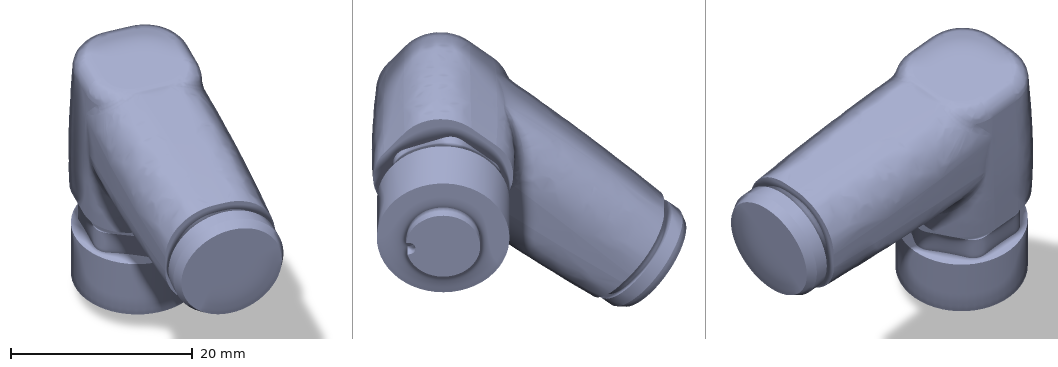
import cadquery as cq
import math

TOTAL_LENGTH = 37.3
TOTAL_HEIGHT = 32.0

NOSE_DIAMETER = 8.17
NOSE_TOP = 1.6
KEYWAY_WIDTH = 1.53
KEYWAY_DEPTH = 1.05
KEYWAY_ANGLE = 135

RING_DIAMETER = 14.6
RING_TOP = 8.75
RING_BEVEL_DIAMETER = 11.9
RING_BEVEL_HEIGHT = 0.3

HEX_ACROSS_FLATS = 11.97
HEX_CORNER_RADIUS = 2.05
HEX_TOP = 11.7

NECK_DIAMETER = 9.03
NECK_TOP = 13.4

LEG_BULGE_Z = 21.65
LEG_BOTTOM_SECTION = (14.02, 13.9, 5.22)
LEG_BULGE_SECTION = (14.32, 13.9, 5.22)
LEG_TOP_SECTION = (13.35, 13.0, 5.05)
LEG_TOP_FILLET = 1.98

ARM_AXIS_Z = 24.88
ARM_ROOT_X = 0
ARM_BULGE_X = 13.05
ARM_END_X = 26.37
ARM_ROOT_SECTION = (13.35, 14.0, 4.65)
ARM_BULGE_SECTION = (13.8, 14.0, 5.4)
ARM_END_SECTION = (12.85, 13.58, 5.8)
ELBOW_FILLET = 1.68

GROOVE_SECTION = (10.7, 11.5, 4.85)
GROOVE_END_X = 27.45
CAP_DIAMETER = 12.9
CAP_CHAMFER_LENGTH = 1.0
CAP_CHAMFER_DEPTH = 0.55
CAP_END_X = TOTAL_LENGTH - RING_DIAMETER / 2


def rounded_rectangle(section):
    """Sketch of a rectangle with rounded corners from (width, height, corner radius)."""
    width, height, corner_radius = section
    return cq.Sketch().rect(width, height).vertices().fillet(corner_radius)


def cylinder(diameter, bottom, top):
    """Vertical cylinder on the coupling axis."""
    return cq.Workplane("XY").workplane(offset=bottom).circle(diameter / 2).extrude(top - bottom)


def loft_through(plane, stations):
    """Smooth loft through (offset along the plane's normal, section) stations."""
    faces = [
        rounded_rectangle(section).moved(cq.Location(cq.Vector(0, 0, offset)))
        for offset, section in stations
    ]
    return cq.Workplane(plane).placeSketch(*faces).loft()


def make_nose():
    """Nose with a round-bottomed keyway along its side."""
    keyway = (
        cq.Workplane("XY")
        .transformed(rotate=(0, 0, KEYWAY_ANGLE))
        .center(NOSE_DIAMETER / 2, 0)
        .slot2D(2 * KEYWAY_DEPTH, KEYWAY_WIDTH)
        .extrude(NOSE_TOP)
    )
    return cylinder(NOSE_DIAMETER, 0, NOSE_TOP).cut(keyway)


def make_ring():
    """Round ring whose top slopes up to the flats of the hexagon."""
    bevel_width = (RING_DIAMETER - RING_BEVEL_DIAMETER) / 2
    return (
        cylinder(RING_DIAMETER, NOSE_TOP, RING_TOP + RING_BEVEL_HEIGHT)
        .faces(">Z")
        .chamfer(RING_BEVEL_HEIGHT, bevel_width)
    )


def make_hexagon():
    """Rounded hexagon with two flats facing along Y."""
    corner_diameter = HEX_ACROSS_FLATS / math.cos(math.pi / 6)
    return (
        cq.Workplane("XY")
        .workplane(offset=RING_TOP)
        .polygon(6, corner_diameter)
        .extrude(HEX_TOP - RING_TOP)
        .edges("|Z")
        .fillet(HEX_CORNER_RADIUS)
    )


def make_leg():
    """Barrelled vertical leg with a rounded top rim."""
    leg = loft_through(
        cq.Plane.XY(),
        [
            (NECK_TOP, LEG_BOTTOM_SECTION),
            (LEG_BULGE_Z, LEG_BULGE_SECTION),
            (TOTAL_HEIGHT, LEG_TOP_SECTION),
        ],
    )
    return leg.faces(">Z").edges().fillet(LEG_TOP_FILLET)


def make_arm():
    """Horizontal arm that starts inside the leg and tapers to its free end."""
    return loft_through(
        cq.Plane(origin=(0, 0, ARM_AXIS_Z), xDir=(0, 1, 0), normal=(1, 0, 0)),
        [
            (ARM_ROOT_X, ARM_ROOT_SECTION),
            (ARM_BULGE_X, ARM_BULGE_SECTION),
            (ARM_END_X, ARM_END_SECTION),
        ],
    )


def make_arm_end():
    """Grooved spigot and the round, chamfered cap it carries."""
    end_plane = cq.Plane(origin=(ARM_END_X, 0, ARM_AXIS_Z), xDir=(0, 1, 0), normal=(1, 0, 0))
    groove_length = GROOVE_END_X - ARM_END_X
    groove = cq.Workplane(end_plane).placeSketch(rounded_rectangle(GROOVE_SECTION)).extrude(groove_length)
    cap = (
        cq.Workplane(end_plane)
        .workplane(offset=groove_length)
        .circle(CAP_DIAMETER / 2)
        .extrude(CAP_END_X - GROOVE_END_X)
        .faces(">X")
        .chamfer(CAP_CHAMFER_LENGTH, CAP_CHAMFER_DEPTH)
    )
    return groove.union(cap)


def make_elbow():
    """Leg and arm joined, with the corner under the arm rounded along its tangent edges."""
    elbow = make_leg().union(make_arm())
    corner_x = LEG_BULGE_SECTION[0] / 2
    corner_z = ARM_AXIS_Z - ARM_ROOT_SECTION[1] / 2
    inner_corner = cq.selectors.NearestToPointSelector((corner_x, 0, corner_z))
    return elbow.edges(inner_corner).fillet(ELBOW_FILLET)


result = (
    make_nose()
    .union(make_ring())
    .union(make_hexagon())
    .union(cylinder(NECK_DIAMETER, HEX_TOP, NECK_TOP))
    .union(make_elbow())
    .union(make_arm_end())
)